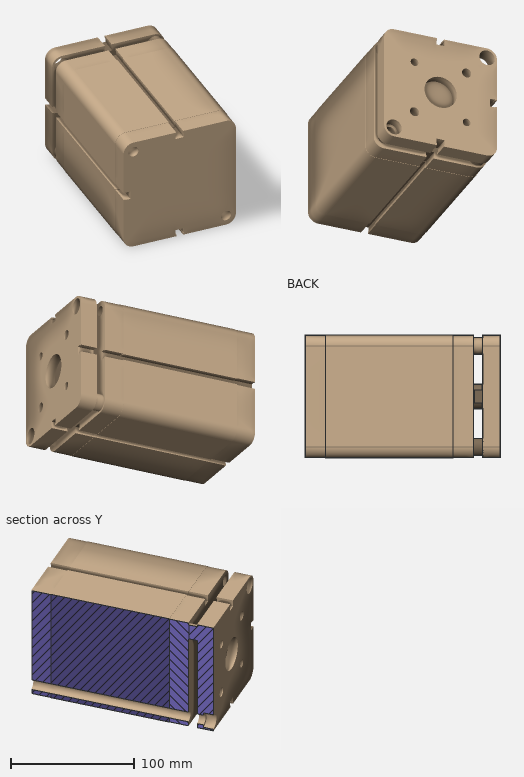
import cadquery as cq

BARREL_SIDE = 100.0
END_INSET = 0.24
BARREL_CORNER = 9.0
END_SIDE = BARREL_SIDE - 2 * END_INSET
END_CORNER = BARREL_CORNER - END_INSET

LENGTH = 158.5
PLATE_LENGTH = 14.3
GAP = 7.5
CAP_LENGTH = 16.6
FRONT_CAP_START = PLATE_LENGTH + GAP
BARREL_START = FRONT_CAP_START + CAP_LENGTH
REAR_CAP_START = LENGTH - CAP_LENGTH
BARREL_LENGTH = REAR_CAP_START - BARREL_START

END_SLOT = (6.0, 1.7, 7.1, 6.0)
BARREL_SLOT = (4.9, 2.2, 6.0, 5.7)
SLOT_ANGLES = (0, 90, 180)

CORNER_OFFSET = 41.0
GUIDE_DIAMETER = 14.0
ACCESS_DIAMETER = 13.5
MOUNTING_DIAMETER = 8.9

RECESS_DIAMETER = 28.4
RECESS_DEPTH = 8.5
PATTERN_OFFSET = 23.0
SCREW_DIAMETER = 8.1
PIN_DIAMETER = 6.8

ROD_DIAMETER = 20.1
ROD_ACROSS_FLATS = 17.1
FLAT_LENGTH = 6.5
ROD_CHAMFER = 0.5

AXIS = [(0, 0)]
GUIDE_PLACES = [(CORNER_OFFSET, CORNER_OFFSET), (-CORNER_OFFSET, -CORNER_OFFSET)]
LOWER_MOUNTING_PLACE = (CORNER_OFFSET, -CORNER_OFFSET)
UPPER_MOUNTING_PLACE = (-CORNER_OFFSET, CORNER_OFFSET)
MOUNTING_PLACES = [LOWER_MOUNTING_PLACE, UPPER_MOUNTING_PLACE]
PIN_PLACES = [(PATTERN_OFFSET, PATTERN_OFFSET), (-PATTERN_OFFSET, -PATTERN_OFFSET)]
SCREW_PLACES = [(PATTERN_OFFSET, -PATTERN_OFFSET), (-PATTERN_OFFSET, PATTERN_OFFSET)]


def section_plane(x):
    """Workplane across the X axis, with Y and Z as its local axes."""
    return cq.Workplane("YZ", origin=(x, 0, 0))


def cylinders(places, diameter, start, length):
    """Cylinders along X at the given places."""
    return section_plane(start).pushPoints(places).circle(diameter / 2).extrude(length)


def slot_cutter(slot, side, start, length):
    """T-slot along X, open at the +Z side of a square section."""
    mouth_width, lip_depth, inner_width, depth = slot
    top = side / 2
    inner_height = depth - lip_depth
    inner_middle = top - lip_depth - inner_height / 2
    mouth = section_plane(start).center(0, top - depth / 2).rect(mouth_width, depth).extrude(length)
    inner = section_plane(start).center(0, inner_middle).rect(inner_width, inner_height).extrude(length)
    return mouth.union(inner)


def slotted_block(side, corner, slot, start, length):
    """Rounded square block along X with a T-slot in three of its sides."""
    block = section_plane(start).rect(side, side).extrude(length)
    block = block.edges("|X").fillet(corner)
    cutter = slot_cutter(slot, side, start, length)
    for angle in SLOT_ANGLES:
        block = block.cut(cutter.rotate((0, 0, 0), (1, 0, 0), angle))
    return block


def housing_section(side, corner, slot, start, length):
    """Slotted block of the housing with the two mounting holes through it."""
    block = slotted_block(side, corner, slot, start, length)
    return block.cut(cylinders(MOUNTING_PLACES, MOUNTING_DIAMETER, start, length))


def make_plate():
    """Yoke plate with its two guide rods, which reach the front cap."""
    plate = slotted_block(END_SIDE, END_CORNER, END_SLOT, 0, PLATE_LENGTH)
    plate = plate.cut(cylinders(AXIS, RECESS_DIAMETER, 0, RECESS_DEPTH))
    plate = plate.cut(cylinders([UPPER_MOUNTING_PLACE], ACCESS_DIAMETER, 0, PLATE_LENGTH))
    plate = plate.cut(cylinders([LOWER_MOUNTING_PLACE], ACCESS_DIAMETER, 0, RECESS_DEPTH))
    plate = plate.cut(cylinders([LOWER_MOUNTING_PLACE], MOUNTING_DIAMETER, 0, PLATE_LENGTH))
    plate = plate.cut(cylinders(SCREW_PLACES, SCREW_DIAMETER, 0, PLATE_LENGTH))
    plate = plate.cut(cylinders(PIN_PLACES, PIN_DIAMETER, 0, PLATE_LENGTH))
    return plate.union(cylinders(GUIDE_PLACES, GUIDE_DIAMETER, PLATE_LENGTH, GAP))


def make_rod():
    """Piston rod between the plate and the front cap, with two wrench flats facing +Y and -Y."""
    rod = cylinders(AXIS, ROD_DIAMETER, PLATE_LENGTH, GAP).faces("<X").chamfer(ROD_CHAMFER)
    cutter_side = 2 * ROD_DIAMETER
    flat_cutter = (
        section_plane(PLATE_LENGTH)
        .rect(cutter_side, cutter_side)
        .rect(ROD_ACROSS_FLATS, ROD_DIAMETER)
        .extrude(FLAT_LENGTH)
    )
    return rod.cut(flat_cutter)


def make_cap(start):
    """End cap of the housing."""
    return housing_section(END_SIDE, END_CORNER, END_SLOT, start, CAP_LENGTH)


def make_barrel():
    """Barrel between the two end caps."""
    return housing_section(BARREL_SIDE, BARREL_CORNER, BARREL_SLOT, BARREL_START, BARREL_LENGTH)


plate = make_plate().solids()
rod = make_rod().solids()
barrel = make_barrel().solids()
caps = [make_cap(start).solids() for start in (FRONT_CAP_START, REAR_CAP_START)]

result = cq.Compound.makeCompound(
    [plate.val(), rod.val(), barrel.val(), *[cap.val() for cap in caps]]
)